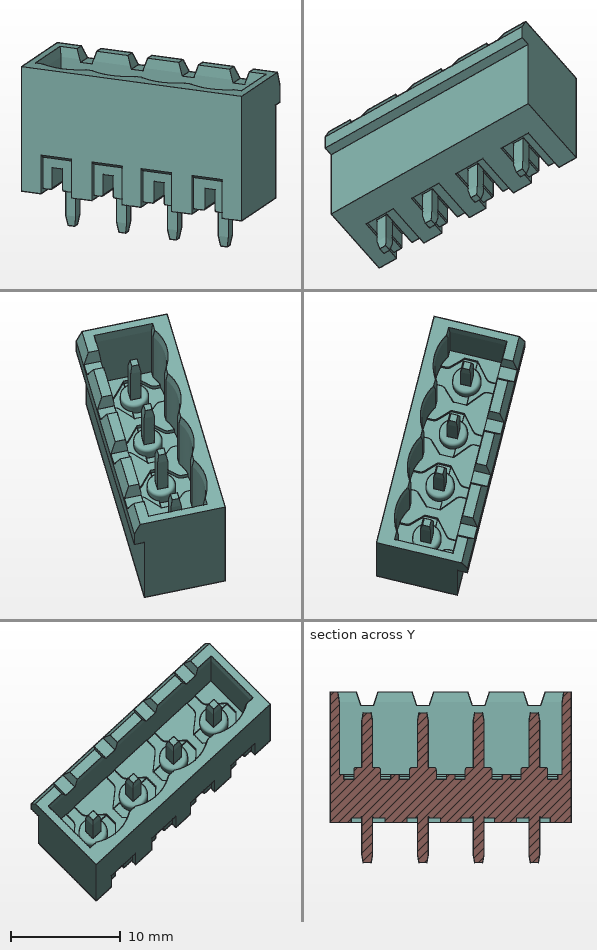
import cadquery as cq
import math

header_length = 22.0
total_depth = 8.55
total_height = 15.85
pin_count = 4
pin_pitch = 5.08

body_height = 11.92
lip_overhang = 0.95
lip_height = 3.04
lip_chamfer_depth = 0.55
lip_chamfer_height = 1.36
body_depth = total_depth - lip_overhang

end_wall = 0.7
back_wall = 1.52
front_wall = 1.55
floor_height = 4.4
mouth_draft = 0.15
back_draft = 0.1
mouth_depth = 0.97
scallop_pitch = 4.93
scallop_chord = 4.27
scallop_depth = 0.62

slot_depth = 1.23
slot_floor_width = 1.15
slot_top_width = 1.95

pin_width = 1.01
pin_thickness = 0.97
pin_y = 3.92
pin_tip_length = 1.0
pin_tip_width = 0.65
pin_top = 10.25
pin_bottom = body_height - total_height

collar_diameter = 2.6
collar_rounding = 0.26
collar_height = 0.65

key_width = 4.27
key_mouth_width = 1.8
key_side_front = 3.2
key_neck_front = 1.98
key_neck_back = 5.76
key_rounding = 0.65
key_front_step = 0.45
key_back_step = 0.22

pocket_width = 3.04
pocket_depth = 0.45
pocket_height = 3.72
pocket_ceiling_drop = 0.33
pocket_inward_shift = 0.09
notch_height = 2.5
notch_chamfer_width = 0.09
notch_chamfer_height = 0.15
foot_recess_height = 0.4
foot_recess_margin = 0.45

pin_back = pin_y + pin_thickness / 2
cavity_back = total_depth - back_wall
mouth_floor = body_height - mouth_depth


def row(pitch):
    """X positions of evenly spaced features, centred on the header."""
    return [(i - (pin_count - 1) / 2) * pitch for i in range(pin_count)]


def prism_along_x(points, x_center, width):
    """Extrude a closed outline of (y, z) points symmetrically along X."""
    profile = cq.Workplane("YZ", origin=(x_center, 0, 0)).polyline(points).close()
    return profile.extrude(width / 2, both=True)


def prism_along_y(points, y_start, y_end):
    """Extrude a closed outline of (x, z) points from y_start to y_end."""
    profile = cq.Workplane("XZ", origin=(0, y_start, 0)).polyline(points).close()
    return profile.extrude(y_start - y_end)


def box(x_center, width, y_start, y_end, z_start, z_end):
    size = (width, y_end - y_start, z_end - z_start)
    return cq.Workplane("XY", origin=(x_center, y_start, z_start)).box(*size, centered=(True, False, False))


def housing():
    return prism_along_x(
        [
            (0, 0),
            (body_depth, 0),
            (body_depth, body_height - lip_height),
            (total_depth, body_height - lip_height),
            (total_depth, body_height - lip_chamfer_height),
            (total_depth - lip_chamfer_depth, body_height),
            (0, body_height),
        ],
        0,
        header_length,
    )


def cavity_outline(workplane, inset, back_inset):
    """Cavity section: straight ends and back, one arc per pin along the front."""
    half_length = header_length / 2 - end_wall - inset
    front = front_wall + inset
    back = cavity_back - back_inset
    outline = workplane.moveTo(-half_length, back).lineTo(-half_length, front)
    for x in row(scallop_pitch):
        outline = outline.lineTo(x - scallop_chord / 2, front)
        outline = outline.threePointArc((x, front - scallop_depth), (x + scallop_chord / 2, front))
    return outline.lineTo(half_length, front).lineTo(half_length, back).close()


def straight_cavity(z_start, height):
    """The undrafted cavity section below the mouth, extruded upwards."""
    base = cq.Workplane("XY").workplane(offset=z_start)
    return cavity_outline(base, mouth_draft, back_draft).extrude(height)


def cavity():
    mouth = cavity_outline(cq.Workplane("XY").workplane(offset=mouth_floor), mouth_draft, back_draft)
    mouth = cavity_outline(mouth.workplane(offset=mouth_depth), 0, 0).loft(ruled=True)
    return straight_cavity(floor_height, mouth_floor - floor_height).union(mouth)


def latch_slot(x):
    return prism_along_y(
        [
            (x - slot_floor_width / 2, body_height - slot_depth),
            (x + slot_floor_width / 2, body_height - slot_depth),
            (x + slot_top_width / 2, body_height),
            (x - slot_top_width / 2, body_height),
        ],
        cavity_back - back_draft,
        total_depth,
    )


def floor_recess(x):
    """Keyhole recess, deeper in front of the pin's back face than behind it."""
    front_outline = [
        (-key_mouth_width / 2, 0),
        (key_mouth_width / 2, 0),
        (key_mouth_width / 2, key_neck_front),
        (key_width / 2, key_side_front),
        (key_width / 2, pin_back),
        (-key_width / 2, pin_back),
        (-key_width / 2, key_side_front),
        (-key_mouth_width / 2, key_neck_front),
    ]
    back_outline = [
        (-key_width / 2, pin_back),
        (key_width / 2, pin_back),
        (pin_width / 2, key_neck_back),
        (pin_width / 2, cavity_back),
        (-pin_width / 2, cavity_back),
        (-pin_width / 2, key_neck_back),
    ]

    def sunken(outline, step, neck_y):
        base = cq.Workplane("XY", origin=(x, 0, floor_height - step))
        recess = base.polyline(outline).close().extrude(step)
        neck_zone = cq.selectors.BoxSelector(
            (x - key_mouth_width, neck_y - 0.22, 0), (x + key_mouth_width, neck_y + 0.22, body_height)
        )
        return recess.edges("|Z").edges(neck_zone).fillet(key_rounding)

    front = sunken(front_outline, key_front_step, key_neck_front)
    back = sunken(back_outline, key_back_step, key_neck_back)
    bounds = straight_cavity(floor_height - key_front_step, key_front_step)
    return front.union(back).intersect(bounds)


def front_pocket(x):
    """Shallow pocket with a sloping ceiling, opening into a recess under the housing."""
    center = x - math.copysign(pocket_inward_shift, x)
    pocket = prism_along_x(
        [
            (0, 0),
            (pocket_depth, 0),
            (pocket_depth, pocket_height - pocket_ceiling_drop),
            (0, pocket_height),
        ],
        center,
        pocket_width,
    )
    recess_back = pin_back + foot_recess_margin
    return pocket.union(box(center, pocket_width, 0, recess_back, 0, foot_recess_height))


def pin_notch(x):
    """Slot that clears the pin's tail, chamfered where it meets the foot recess."""
    half = pin_width / 2
    flared_half = half + notch_chamfer_width
    chamfer_top = foot_recess_height + notch_chamfer_height
    return prism_along_y(
        [
            (x - flared_half, foot_recess_height),
            (x + flared_half, foot_recess_height),
            (x + half, chamfer_top),
            (x + half, notch_height),
            (x - half, notch_height),
            (x - half, chamfer_top),
        ],
        pocket_depth,
        pin_back,
    )


def pin(x):
    def tip(root_z, end_z):
        root = cq.Workplane("XY", origin=(x, pin_y, root_z)).rect(pin_width, pin_thickness)
        return root.workplane(offset=end_z - root_z).rect(pin_tip_width, pin_tip_width).loft()

    shank_bottom = pin_bottom + pin_tip_length
    shank_top = pin_top - pin_tip_length
    shank = box(x, pin_width, pin_y - pin_thickness / 2, pin_back, shank_bottom, shank_top)
    return shank.union(tip(shank_bottom, pin_bottom)).union(tip(shank_top, pin_top))


def collar(x):
    base = floor_height - key_front_step
    cylinder = cq.Workplane("XY", origin=(x, pin_y, base)).circle(collar_diameter / 2)
    cylinder = cylinder.extrude(key_front_step + collar_height)
    return cylinder.faces(">Z").edges().fillet(collar_rounding)


result = housing().cut(cavity())
for pin_x in row(pin_pitch):
    result = result.cut(latch_slot(pin_x))
    result = result.cut(floor_recess(pin_x))
    result = result.cut(front_pocket(pin_x))
    result = result.cut(pin_notch(pin_x))
    result = result.union(collar(pin_x))
    result = result.union(pin(pin_x))